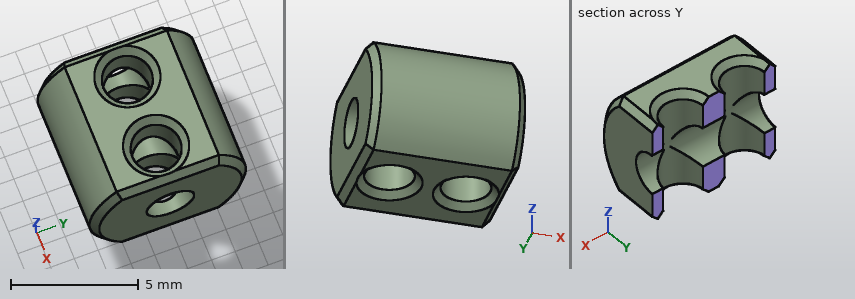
import cadquery as cq

unit = 12.5
length = unit / 2
barrel_diameter = 6.6
height = 5.0
hole_diameter = 2.0
chamfer = 0.3
cross_hole_pitch = unit / 4

overshoot = 1.0


def barrel_body():
    """Barrel along X with two flats, chamfered around both ends."""
    barrel = cq.Workplane("YZ").circle(barrel_diameter / 2).extrude(length / 2, both=True)
    flats = cq.Workplane("XY").box(length + overshoot, barrel_diameter + overshoot, height)
    return barrel.intersect(flats).faces("<X or >X").edges().chamfer(chamfer)


def axial_hole():
    """Plain through hole along the barrel axis."""
    return cq.Workplane("YZ").circle(hole_diameter / 2).extrude(length / 2 + overshoot, both=True)


def cross_hole(x):
    """Vertical through hole with a 45 degree countersink at each flat."""
    hole_radius = hole_diameter / 2
    rim_radius = hole_radius + chamfer
    half_height = height / 2
    top = half_height + overshoot
    half_profile = [
        (0, -top),
        (rim_radius, -top),
        (rim_radius, -half_height),
        (hole_radius, -half_height + chamfer),
        (hole_radius, half_height - chamfer),
        (rim_radius, half_height),
        (rim_radius, top),
        (0, top),
    ]
    tool = cq.Workplane("XZ").polyline(half_profile).close().revolve(360, (0, 0), (0, 1))
    return tool.translate((x, 0, 0))


result = barrel_body().cut(axial_hole())
for side in (-1, 1):
    result = result.cut(cross_hole(side * cross_hole_pitch / 2))